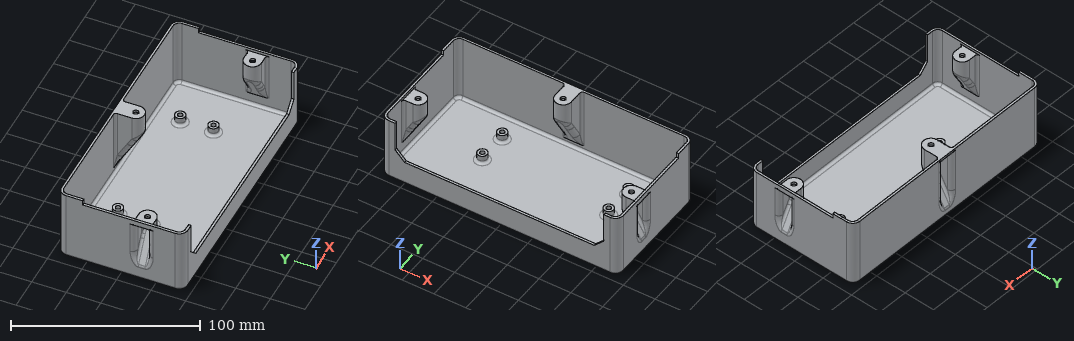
import cadquery as cq
import math

length = 149.2
width = 73.3
height = 43.5
wall = 1.5
floor = 1.5
corner_radius = 5.0
bottom_edge_radius = 1.8
floor_fillet = 1.8

rim_drop = 3.0
full_height_depth = 14.6

opening_margin = 9.1
opening_floor = 15.7
opening_chamfer = 6.0

boss_radius = 5.0
boss_hole_diameter = 3.1
boss_root_fillet = 1.6
boss_slope_fillet = 3.1
slope = math.radians(60)
side_boss_y = -12.1
side_boss_top = 38.8
side_boss_tip = 12.7
side_slope_start = 28.2
back_boss_tip = 16.5
back_slope_start = 31.2

standoff_diameter = 6.0
standoff_hole_diameter = 2.8
standoff_height = 5.0
standoff_base_fillet = 1.8
standoff_x = (-34.8, 44.6)
standoff_y = (0.5, 19.7)

overcut = 1.5
tolerance = 0.01


def rounded_block(size_x, size_y, bottom, top, side_radius, bottom_radius):
    """Upright block with rounded vertical edges and a rounded bottom edge."""
    block = cq.Workplane("XY").workplane(offset=bottom).rect(size_x, size_y).extrude(top - bottom)
    return block.edges("|Z").fillet(side_radius).faces("<Z").edges().fillet(bottom_radius)


def hollow_tray():
    outside = rounded_block(length, width, 0, height, corner_radius, bottom_edge_radius)
    inside = rounded_block(
        length - 2 * wall, width - 2 * wall, floor, height + overcut, corner_radius - wall, floor_fillet
    )
    return outside.cut(inside)


def rim_cut():
    """Material above the lower rim, in front of the full-height back part."""
    cut_depth = width - full_height_depth
    return cq.Workplane("XY").box(
        length + 2 * overcut, cut_depth, rim_drop + overcut, centered=(True, False, False)
    ).translate((0, -width / 2, height - rim_drop))


def front_opening():
    half = length / 2 - opening_margin
    profile = [
        (-half, height + overcut),
        (-half, opening_floor + opening_chamfer),
        (-half + opening_chamfer, opening_floor),
        (half - opening_chamfer, opening_floor),
        (half, opening_floor + opening_chamfer),
        (half, height + overcut),
    ]
    front = cq.Workplane("XZ", origin=(0, -width / 2 + wall, 0))
    return front.polyline(profile).close().extrude(wall + overcut)


def boss_column(root, nose, radius, bottom, top, flare=0.0):
    """Column from X = root to a round end at X = nose, widened by a concave flare at the root."""
    outline = cq.Workplane("XY", origin=(0, 0, bottom)).moveTo(root, -radius - flare)
    if flare > 0:
        outline = outline.radiusArc((root + flare, -radius), flare)
    outline = (
        outline.lineTo(nose - radius, -radius)
        .threePointArc((nose, 0), (nose - radius, radius))
        .lineTo(root + flare, radius)
    )
    if flare > 0:
        outline = outline.radiusArc((root, radius + flare), flare)
    return outline.close().extrude(top - bottom)


def sloped_boss(root, nose, radius, nose_bottom, top, slope_fillet, flare=0.0):
    """Boss column with a sloped underside whose edges are rounded; also returns its height at the root."""
    root_bottom = nose_bottom - (nose - root) * math.tan(slope)
    side_profile = (
        cq.Workplane("XZ")
        .polyline([(root, root_bottom), (nose, nose_bottom), (nose, top), (root, top)])
        .close()
        .extrude(radius + flare, both=True)
    )
    boss = boss_column(root, nose, radius, root_bottom, top, flare).intersect(side_profile)
    return boss.faces("<Z").edges("not <X").fillet(slope_fillet), root_bottom


def wall_slab(root, bottom, top):
    """Piece of wall ending at X = root, to which a boss is joined."""
    return cq.Workplane("XY", origin=(root - wall, 0, bottom)).box(
        wall, 4 * boss_radius, top - bottom, centered=(False, True, False)
    )


def root_edges(root, bottom, top):
    """Selector for the edges where a boss meets the wall plane X = root."""
    reach = 2 * boss_radius
    return cq.selectors.BoxSelector(
        (root - tolerance, -reach + tolerance, bottom + tolerance),
        (root + tolerance, reach - tolerance, top - tolerance),
    )


def boss_body(tip, top, slope_start):
    """Boss inside the tray, on a wall whose outer face is X = 0, growing toward +X."""
    boss, root_bottom = sloped_boss(
        wall, tip, boss_radius, slope_start, top, boss_slope_fillet, boss_root_fillet
    )
    return wall_slab(wall, root_bottom, top).union(boss)


def boss_core(tip, top, slope_start):
    """Hollow of the boss, one wall thickness inside it, with a rounded mouth at X = 0."""
    mouth_fillet = boss_root_fillet + wall
    nose_bottom = slope_start + wall * math.tan((math.pi / 2 - slope) / 2)
    core_top = top - wall
    core, root_bottom = sloped_boss(
        0, tip - wall, boss_radius - wall, nose_bottom, core_top, boss_slope_fillet - wall
    )
    slab_bottom = root_bottom - mouth_fillet
    joined = wall_slab(0, slab_bottom, core_top).union(core)
    return joined.edges(root_edges(0, slab_bottom, core_top)).fillet(mouth_fillet)


def boss_hole(tip, top):
    return (
        cq.Workplane("XY", origin=(tip - boss_radius, 0, top - 2 * wall))
        .circle(boss_hole_diameter / 2)
        .extrude(2 * wall + overcut)
    )


def add_boss(body, tip, top, slope_start, turn, wall_point):
    """Add a hollow boss; turn rotates it about Z and wall_point is its place on the outer face."""
    def place(shape):
        return shape.rotate((0, 0, 0), (0, 0, 1), turn).translate(wall_point)

    body = body.union(place(boss_body(tip, top, slope_start)))
    body = body.cut(place(boss_core(tip, top, slope_start)))
    return body.cut(place(boss_hole(tip, top)))


def add_standoff(body, x, y):
    """Standoff with a flared base and a blind hole down to the floor."""
    radius = standoff_diameter / 2
    flare = standoff_base_fillet
    arc_reach = flare * (1 - math.sqrt(0.5))
    post = (
        cq.Workplane("XZ")
        .moveTo(0, -floor / 2)
        .lineTo(radius + flare, -floor / 2)
        .lineTo(radius + flare, 0)
        .threePointArc((radius + arc_reach, arc_reach), (radius, flare))
        .lineTo(radius, standoff_height)
        .lineTo(0, standoff_height)
        .close()
        .revolve(360, (0, 0), (0, 1))
    )
    hole = cq.Workplane("XY").circle(standoff_hole_diameter / 2).extrude(standoff_height + overcut)
    place = (x, y, floor)
    return body.union(post.translate(place)).cut(hole.translate(place))


result = hollow_tray().cut(rim_cut()).cut(front_opening())
result = add_boss(result, side_boss_tip, side_boss_top, side_slope_start, 0, (-length / 2, side_boss_y, 0))
result = add_boss(result, side_boss_tip, side_boss_top, side_slope_start, 180, (length / 2, side_boss_y, 0))
result = add_boss(result, back_boss_tip, height, back_slope_start, -90, (0, width / 2, 0))
for standoff_center_x in standoff_x:
    for standoff_center_y in standoff_y:
        result = add_standoff(result, standoff_center_x, standoff_center_y)